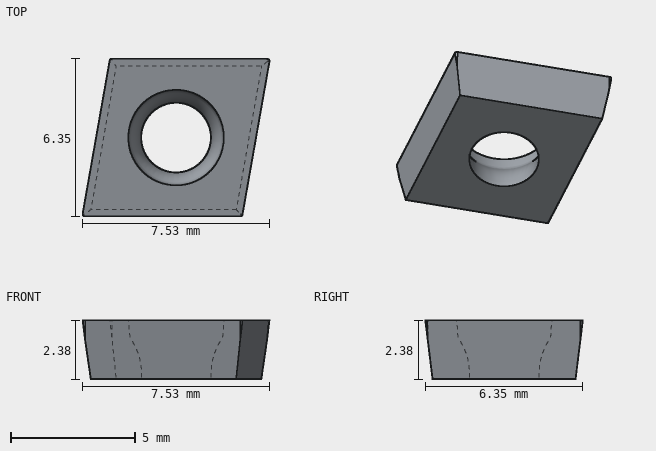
import cadquery as cq
import math

inscribed_circle = 6.35
thickness = 2.38
corner_angle = 80.0
clearance_angle = 7.0
nose_radius = 0.1

bore_diameter = 2.8
bore_length = 0.23
flare_radius = 2.5
mouth_diameter = 3.85
seat_depth = 0.69
blend_radius = 0.5

nose_depth = nose_radius / math.tan(math.radians(clearance_angle))
nose_base = thickness - nose_depth


def rhombus(height, flat_distance):
    """Rhombus at the given height whose opposite sides are flat_distance apart."""
    angle = math.radians(corner_angle)
    half_side = flat_distance / math.sin(angle) / 2
    half_width = flat_distance / 2
    lean = half_width / math.tan(angle)
    return (
        cq.Workplane("XY", origin=(0, 0, height))
        .moveTo(-half_side - lean, -half_width)
        .lineTo(half_side - lean, -half_width)
        .lineTo(half_side + lean, half_width)
        .lineTo(-half_side + lean, half_width)
        .close()
    )


def make_body():
    """Rhombic body with sloping flanks: sharp corners below, conical noses above."""
    sharp_distance = inscribed_circle - 2 * nose_radius
    lower = rhombus(nose_base, sharp_distance).extrude(-nose_base, taper=clearance_angle)
    upper = rhombus(nose_base, sharp_distance).extrude(nose_depth, taper=-clearance_angle)
    return lower.union(upper).clean()


def make_screw_hole():
    """Bore, flared seat and tapered mouth, with the seat blended into the mouth."""
    bore_radius = bore_diameter / 2
    mouth_radius = mouth_diameter / 2
    seat_height = thickness - seat_depth

    def flare_point(height):
        """Point of the flare arc, which leaves the bore tangentially."""
        rise = height - bore_length
        return (bore_radius + flare_radius - math.sqrt(flare_radius**2 - rise**2), height)

    hole = (
        cq.Workplane("XZ")
        .lineTo(bore_radius, 0)
        .lineTo(bore_radius, bore_length)
        .threePointArc(flare_point((bore_length + seat_height) / 2), flare_point(seat_height))
        .lineTo(mouth_radius, thickness)
        .lineTo(0, thickness)
        .close()
        .revolve(360, (0, 0), (0, 1))
    )
    seat_edge = cq.NearestToPointSelector((0, 0, seat_height))
    return hole.edges(seat_edge).fillet(blend_radius)


result = make_body().cut(make_screw_hole())